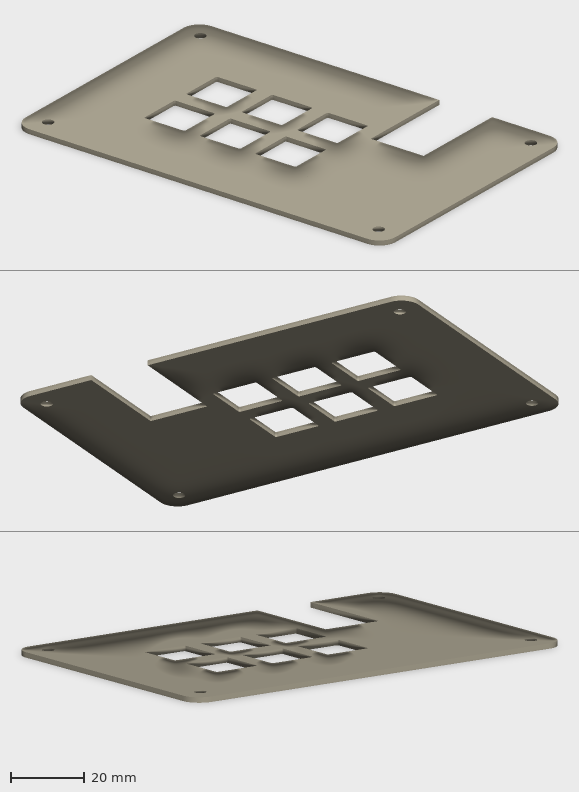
import cadquery as cq

length = 126.7
width = 82.5
thickness = 1.5
corner_radius = 5.5

hole_diameter = 3.4
hole_inset = 6.7

key_size = 14.0
key_pitch = 19.0
key_columns = 3
key_rows = 2
key_corner_radius = 0.5
first_key_x = 33.0
first_key_y = 31.7

notch_left = 83.5
notch_width = 18.1
notch_depth = 31.0


def make_plate():
    plate = cq.Workplane("XY").box(length, width, thickness, centered=False)
    return plate.edges("|Z").fillet(corner_radius)


def make_mounting_holes():
    centres = [
        (x, y)
        for x in (hole_inset, length - hole_inset)
        for y in (hole_inset, width - hole_inset)
    ]
    return cq.Workplane("XY").pushPoints(centres).circle(hole_diameter / 2).extrude(thickness)


def make_key_openings():
    centres = [
        (first_key_x + column * key_pitch, first_key_y + row * key_pitch)
        for column in range(key_columns)
        for row in range(key_rows)
    ]
    openings = cq.Workplane("XY").pushPoints(centres).rect(key_size, key_size).extrude(thickness)
    return openings.edges("|Z").fillet(key_corner_radius)


def make_notch():
    notch = cq.Workplane("XY").box(notch_width, notch_depth, thickness, centered=False)
    return notch.translate((notch_left, width - notch_depth, 0))


result = make_plate().cut(make_mounting_holes()).cut(make_key_openings()).cut(make_notch())